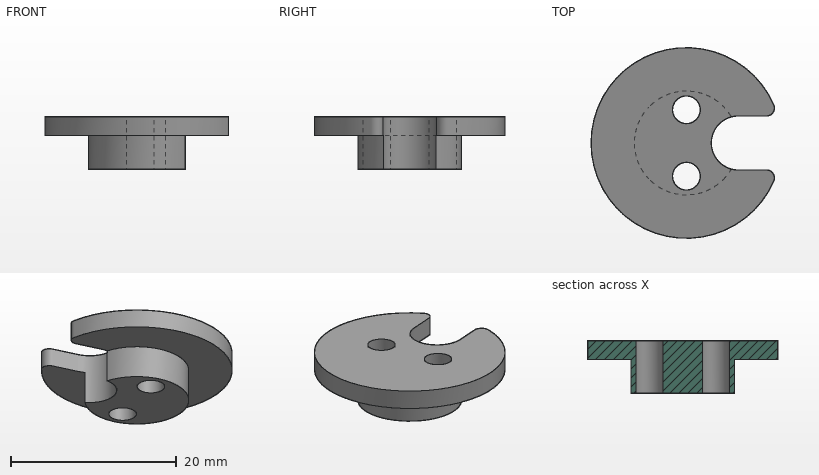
import cadquery as cq

flange_diameter = 22.98
flange_thickness = 2.3

boss_diameter = 12.52
boss_height = 4.05
total_height = boss_height + flange_thickness

slot_width = 6.48
slot_center_x = 6.25
slot_corner_radius = 0.97

hole_diameter = 3.3
hole_spacing = 8.0


def make_slot_cutter():
    """Full-height slot with a round inner end, running out past the flange rim."""
    slot_length = flange_diameter / 2
    round_end = cq.Workplane("XY").center(slot_center_x, 0).circle(slot_width / 2).extrude(total_height)
    channel = (
        cq.Workplane("XY")
        .center(slot_center_x + slot_length / 2, 0)
        .rect(slot_length, slot_width)
        .extrude(total_height)
    )
    return round_end.union(channel)


def make_flange(slot_cutter):
    """Slotted disc with the two corners at the slot mouth rounded."""
    disc = cq.Workplane("XY").workplane(offset=boss_height).circle(flange_diameter / 2).extrude(flange_thickness)
    return disc.cut(slot_cutter).edges("|Z").edges(">X").fillet(slot_corner_radius)


def make_boss(slot_cutter):
    """Round boss, also cut by the slot."""
    return cq.Workplane("XY").circle(boss_diameter / 2).extrude(boss_height).cut(slot_cutter)


def make_holes():
    return (
        cq.Workplane("XY")
        .pushPoints([(0, -hole_spacing / 2), (0, hole_spacing / 2)])
        .circle(hole_diameter / 2)
        .extrude(total_height)
    )


slot = make_slot_cutter()
result = make_flange(slot).union(make_boss(slot)).cut(make_holes())